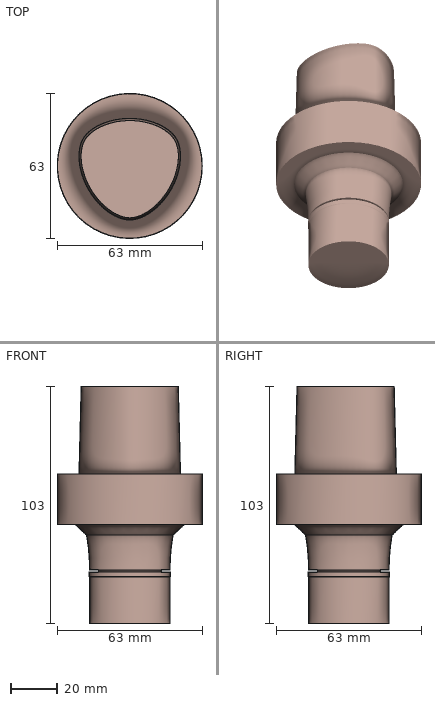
import cadquery as cq
import math

TAPER_LENGTH = 38.0
FLANGE_BOTTOM = -22.0
CONE_BOTTOM = -26.6
NECK_BOTTOM = -41.7
GROOVE_BOTTOM = -42.7
COLLAR_BOTTOM = -44.6
PILOT_TOP = -44.9
PART_BOTTOM = -65.0

FLANGE_DIAMETER = 63.0
CONE_TOP_DIAMETER = 47.3
CONE_BOTTOM_DIAMETER = 37.6
COLLAR_DIAMETER = 35.3
NECK_DIAMETER = 35.0
GROOVE_DIAMETER = 27.4
PILOT_DIAMETER = 35.0

POLYGON_WIDTH = 44.15
LOBE_HEIGHT = 1.4
LOBE_COUNT = 3
TAPER_RATIO = 20.0
FIRST_LOBE_ANGLE = -math.pi / 2
CURVE_POINTS = 48


def polygon_point(width, turn):
    """Point where the outward normal has swept `turn` radians from the -Y lobe.

    The distance from the axis to the tangent line is width / 2 + LOBE_HEIGHT * cos(3 * turn),
    which gives the same width in every direction.
    """
    reach = width / 2 + LOBE_HEIGHT * math.cos(LOBE_COUNT * turn)
    slide = -LOBE_COUNT * LOBE_HEIGHT * math.sin(LOBE_COUNT * turn)
    angle = FIRST_LOBE_ANGLE + turn
    x = reach * math.cos(angle) - slide * math.sin(angle)
    y = reach * math.sin(angle) + slide * math.cos(angle)
    return (x, y)


def polygon_wire(width, height):
    """Closed smooth three-lobed outline at the given height."""
    turns = [2 * math.pi * i / CURVE_POINTS for i in range(CURVE_POINTS)]
    points = [cq.Vector(*polygon_point(width, turn), height) for turn in turns]
    return cq.Wire.assembleEdges([cq.Edge.makeSpline(points, periodic=True)])


def make_polygon_taper():
    """Three-lobed plug narrowing upward from the flange face."""
    top_width = POLYGON_WIDTH - TAPER_LENGTH / TAPER_RATIO
    base = polygon_wire(POLYGON_WIDTH, 0)
    top = polygon_wire(top_width, TAPER_LENGTH)
    return cq.Workplane(obj=cq.Solid.makeLoft([base, top], True))


def neck_arc_middle():
    """Halfway point of the neck arc, which runs tangent to vertical at its lower end."""
    rise = CONE_BOTTOM - NECK_BOTTOM
    flare = (CONE_BOTTOM_DIAMETER - NECK_DIAMETER) / 2
    arc_radius = (rise**2 + flare**2) / (2 * flare)
    half_sweep = math.asin(rise / arc_radius) / 2
    radius = NECK_DIAMETER / 2 + arc_radius * (1 - math.cos(half_sweep))
    return (radius, NECK_BOTTOM + arc_radius * math.sin(half_sweep))


def make_round_body():
    """Flange, cone, flared neck, snap groove, collar and pilot turned about Z."""
    return (
        cq.Workplane("XZ")
        .moveTo(0, 0)
        .lineTo(FLANGE_DIAMETER / 2, 0)
        .lineTo(FLANGE_DIAMETER / 2, FLANGE_BOTTOM)
        .lineTo(CONE_TOP_DIAMETER / 2, FLANGE_BOTTOM)
        .lineTo(CONE_BOTTOM_DIAMETER / 2, CONE_BOTTOM)
        .threePointArc(neck_arc_middle(), (NECK_DIAMETER / 2, NECK_BOTTOM))
        .lineTo(GROOVE_DIAMETER / 2, NECK_BOTTOM)
        .lineTo(GROOVE_DIAMETER / 2, GROOVE_BOTTOM)
        .lineTo(COLLAR_DIAMETER / 2, GROOVE_BOTTOM)
        .lineTo(COLLAR_DIAMETER / 2, COLLAR_BOTTOM)
        .lineTo(PILOT_DIAMETER / 2, PILOT_TOP)
        .lineTo(PILOT_DIAMETER / 2, PART_BOTTOM)
        .lineTo(0, PART_BOTTOM)
        .close()
        .revolve(360, (0, 0, 0), (0, 1, 0))
    )


result = make_round_body().union(make_polygon_taper())